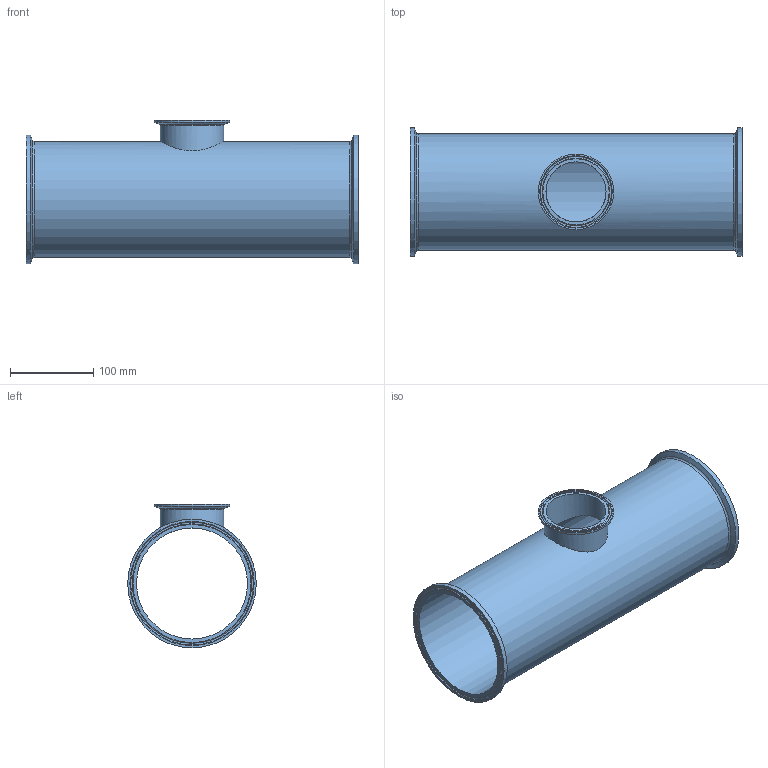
import cadquery as cq
import math

run_length = 400.0
run_outer_radius = 139.8 / 2
run_bore_radius = 133.8 / 2

branch_outer_radius = 76.3 / 2
branch_bore_radius = 72.3 / 2
branch_height = 95.6

back_slope = math.radians(20)

run_rim_radius = 155.0 / 2
run_rim_thickness = 5.4
run_back_fillet = 2.5
run_groove_radius = 146.0 / 2

branch_rim_radius = 91.0 / 2
branch_rim_thickness = 2.5
branch_back_fillet = 1.5
branch_groove_radius = 83.5 / 2

groove_floor_radius = 1.05
groove_lip_radius = 0.85
groove_wall_angle = math.radians(78)


def gasket_groove(groove_radius):
    """Ring of material to remove below z = 0, centred on the given radius."""
    blend_radius = groove_floor_radius + groove_lip_radius
    half_mouth = blend_radius * math.sin(groove_wall_angle)
    depth = blend_radius * (1 - math.cos(groove_wall_angle))

    def lip_point(side, angle):
        offset = half_mouth - groove_lip_radius * math.sin(angle)
        return (groove_radius + side * offset, -groove_lip_radius * (1 - math.cos(angle)))

    half_angle = groove_wall_angle / 2
    return (
        cq.Workplane("XZ")
        .moveTo(*lip_point(-1, 0))
        .threePointArc(lip_point(-1, half_angle), lip_point(-1, groove_wall_angle))
        .threePointArc((groove_radius, -depth), lip_point(1, groove_wall_angle))
        .threePointArc(lip_point(1, half_angle), lip_point(1, 0))
        .close()
        .revolve(360, (0, 0, 0), (0, 1, 0))
    )


def flange(tube_radius, bore_radius, rim_radius, rim_thickness, back_fillet, groove_radius):
    """Flange ring around Z, its face at z = 0 and its back towards -Z."""
    arc_half_angle = (math.pi / 2 - back_slope) / 2
    tangent_length = back_fillet * math.tan(arc_half_angle)
    back_depth = rim_thickness + (rim_radius - tube_radius) * math.tan(back_slope)
    slope_end = (
        tube_radius + tangent_length * math.cos(back_slope),
        -back_depth + tangent_length * math.sin(back_slope),
    )
    tube_start = (tube_radius, -back_depth - tangent_length)
    arc_middle = (
        tube_radius + back_fillet * (1 - math.cos(arc_half_angle)),
        tube_start[1] + back_fillet * math.sin(arc_half_angle),
    )
    ring = (
        cq.Workplane("XZ")
        .moveTo(bore_radius, 0)
        .lineTo(rim_radius, 0)
        .lineTo(rim_radius, -rim_thickness)
        .lineTo(*slope_end)
        .threePointArc(arc_middle, tube_start)
        .lineTo(bore_radius, tube_start[1])
        .close()
        .revolve(360, (0, 0, 0), (0, 1, 0))
    )
    return ring.cut(gasket_groove(groove_radius))


def run_flange(side):
    """Main tube flange at the +X end (side = 1) or the -X end (side = -1)."""
    ring = flange(
        run_outer_radius,
        run_bore_radius,
        run_rim_radius,
        run_rim_thickness,
        run_back_fillet,
        run_groove_radius,
    )
    facing_x = ring.rotate((0, 0, 0), (0, 1, 0), side * 90)
    return facing_x.translate((side * run_length / 2, 0, 0))


def run_cylinder(radius, length):
    return cq.Workplane("YZ").circle(radius).extrude(length / 2, both=True)


def branch_cylinder(radius, height):
    return cq.Workplane("XY").circle(radius).extrude(height)


def branch_flange():
    ring = flange(
        branch_outer_radius,
        branch_bore_radius,
        branch_rim_radius,
        branch_rim_thickness,
        branch_back_fillet,
        branch_groove_radius,
    )
    return ring.translate((0, 0, branch_height))


tubes = run_cylinder(run_outer_radius, run_length).union(
    branch_cylinder(branch_outer_radius, branch_height)
)
body = tubes.union(run_flange(1)).union(run_flange(-1)).union(branch_flange())

result = body.cut(run_cylinder(run_bore_radius, run_length)).cut(
    branch_cylinder(branch_bore_radius, branch_height)
)